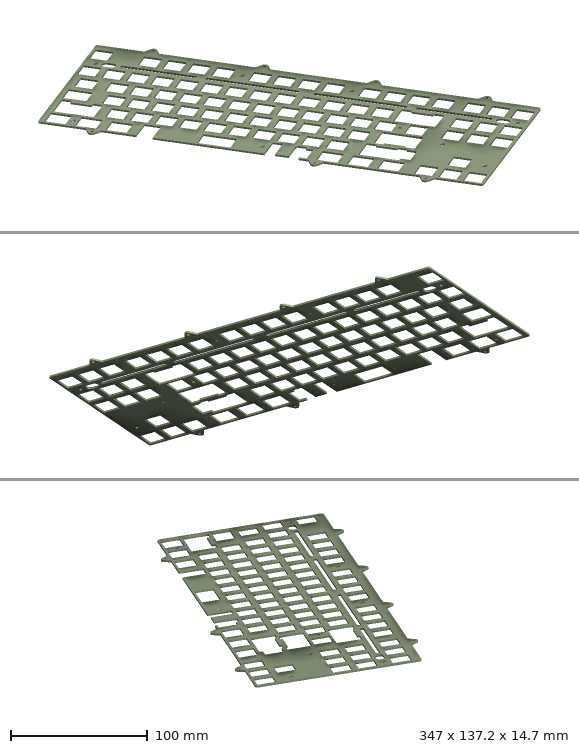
import cadquery as cq
import math

plate_length = 347.0
plate_depth = 125.0
plate_thickness = 1.5
tilt_angle = 5.5
corner_radius = 1.5

ear_spacing = 86.8
ear_radius = 3.0
ear_center_reach = 3.33
ear_root_half_width = 6.0
ear_overlap = 1.7
ear_hole_diameter = 2.2
rear_ear_steps = (-1.5, -0.5, 0.5, 1.5)
front_ear_steps = (-1.5, 0.5, 1.5)

key_field_span = 328.7
key_field_columns = 17.25
key_field_offset = -0.07
key_pitch = key_field_span / key_field_columns
switch_margin = 2.5
switch_size = key_pitch - 2 * switch_margin

number_row_y = 22.5
function_row_gap = 25.7
function_row_y = number_row_y + function_row_gap
tab_row_y = number_row_y - key_pitch
home_row_y = number_row_y - 2 * key_pitch
shift_row_y = number_row_y - 3 * key_pitch
space_row_y = number_row_y - 4 * key_pitch

navigation_columns = [15.25, 16.25, 17.25]
switch_rows = [
    (function_row_y, [0, 2, 3, 4, 5, 6.5, 7.5, 8.5, 9.5, 11, 12, 13, 14] + navigation_columns),
    (number_row_y, list(range(13)) + navigation_columns),
    (tab_row_y, [0.25] + [1.5 + i for i in range(12)] + [13.75] + navigation_columns),
    (home_row_y, [1.75 + i for i in range(11)]),
    (shift_row_y, [2.25 + i for i in range(10)] + [16.25]),
    (space_row_y, navigation_columns),
]

backspace_column = 13.5
enter_column = 13.375
left_shift_column = 0.625
right_shift_column = 13.125
split_shift_column = 14
short_bar_column = 6.375
long_bar_column = 7
short_bar_next_column = 10.125

two_place_openings = [
    (number_row_y, 13, 14),
    (home_row_y, 0.125, 0.375),
    (space_row_y, 0.125, 0.25),
    (space_row_y, 1.375, 1.5),
    (space_row_y, 2.625, 2.75),
    (space_row_y, short_bar_column, long_bar_column),
    (space_row_y, 11.25, 11.375),
    (space_row_y, 12.5, 12.625),
    (space_row_y, 13.75, 13.875),
]

stabilizer_half_width = 16.0
stabilizer_half_gap = 8.5
stabilizer_flat_reach = 9.7
backspace_flat_reach = 10.5
backspace_half_width = 16.3
stabilizer_lobe_reach = 8.7
left_shift_lobe_reach = 9.7

space_slot_width = 8.0
space_slot_reach = 9.5
short_bar_wire = 50.0
long_bar_wire = 57.0
space_tongue_setback = 1.0

slot_row_y = 35.8
flex_slot_width = 3.0
inner_slot_ends = (5.5, 78.8)
outer_slot_ends = (85.5, 145.0)
alignment_row_y = 35.0
oval_x = 153.8
oval_length = 10.8
oval_width = 6.2

screw_hole_diameter = 2.2
countersink_diameter = 4.5
countersink_angle = 90
screw_holes = [
    (-164.5, alignment_row_y),
    (164.5, alignment_row_y),
    (-55.0, 48.0),
    (31.0, 48.0),
    (123.2, -11.5),
    (164.5, shift_row_y),
    (-149.3, space_row_y),
    (-2.5, -52.0),
]
reset_hole_diameter = 2.6
reset_hole = (84.7, tab_row_y)

through = 4 * plate_thickness


def column_x(column):
    """X of a key center from its column in key units."""
    return key_field_offset + column * key_pitch - key_field_span / 2


def box_cutter(left, right, bottom, top):
    """Rectangular through cutter between four sides."""
    center = ((left + right) / 2, (bottom + top) / 2)
    return cq.Workplane("XY").center(*center).rect(right - left, top - bottom).extrude(through / 2, both=True)


def hole_cutter(points, diameter):
    """Round through cutters at the given points."""
    return cq.Workplane("XY").pushPoints(points).circle(diameter / 2).extrude(through / 2, both=True)


def slot_cutter(center_x, center_y, length, width):
    """Round-ended through cutter lying along X."""
    return cq.Workplane("XY").center(center_x, center_y).slot2D(length, width).extrude(through / 2, both=True)


def make_ear(x, side):
    """Rounded ear with flanks tangent to its tip; side is 1 for the rear edge and -1 for the front."""
    root_distance = math.hypot(ear_root_half_width, ear_center_reach)
    root_angle = math.atan2(ear_center_reach, ear_root_half_width)
    tangent_angle = math.acos(ear_radius / root_distance) - root_angle
    tangent_x = ear_radius * math.cos(tangent_angle)
    tangent_y = ear_center_reach + ear_radius * math.sin(tangent_angle)
    edge_y = side * plate_depth / 2
    overlap_y = edge_y - side * ear_overlap
    return (
        cq.Workplane("XY")
        .moveTo(x - ear_root_half_width, overlap_y)
        .lineTo(x - ear_root_half_width, edge_y)
        .lineTo(x - tangent_x, edge_y + side * tangent_y)
        .threePointArc(
            (x, edge_y + side * (ear_center_reach + ear_radius)),
            (x + tangent_x, edge_y + side * tangent_y),
        )
        .lineTo(x + ear_root_half_width, edge_y)
        .lineTo(x + ear_root_half_width, overlap_y)
        .close()
        .extrude(plate_thickness / 2, both=True)
    )


def switch_opening(row_y, first_column, last_column):
    """One opening as high as a switch, reaching from the first switch place to the last."""
    half = switch_size / 2
    return box_cutter(column_x(first_column) - half, column_x(last_column) + half, row_y - half, row_y + half)


def stabilizer_opening(
    row_y,
    column,
    lobe_side,
    lobe_reach=stabilizer_lobe_reach,
    flat_reach=stabilizer_flat_reach,
    half_width=stabilizer_half_width,
):
    """Wide opening with one flat long side; on lobe_side (1 rear, -1 front) two end lobes reach further."""
    x = column_x(column)
    flat_y = row_y - lobe_side * flat_reach
    middle_y = row_y + lobe_side * switch_size / 2
    lobe_y = row_y + lobe_side * lobe_reach
    outline = [
        (x - half_width, flat_y),
        (x - half_width, lobe_y),
        (x - stabilizer_half_gap, lobe_y),
        (x - stabilizer_half_gap, middle_y),
        (x + stabilizer_half_gap, middle_y),
        (x + stabilizer_half_gap, lobe_y),
        (x + half_width, lobe_y),
        (x + half_width, flat_y),
    ]
    return cq.Workplane("XY").polyline(outline).close().extrude(through / 2, both=True)


def space_slot(first_x, last_x):
    """Slot open to the front edge, covering stabilizer places from first_x to last_x."""
    half = space_slot_width / 2
    return box_cutter(first_x - half, last_x + half, -plate_depth, space_row_y + space_slot_reach)


plate = (
    cq.Workplane("XY")
    .rect(plate_length, plate_depth)
    .extrude(plate_thickness / 2, both=True)
    .edges("|Z")
    .fillet(corner_radius)
)
ears = [(step * ear_spacing, 1) for step in rear_ear_steps]
ears += [(step * ear_spacing, -1) for step in front_ear_steps]
for ear_x, ear_side in ears:
    plate = plate.union(make_ear(ear_x, ear_side))
ear_holes = [(x, side * (plate_depth / 2 + ear_center_reach)) for x, side in ears]
plate = plate.cut(hole_cutter(ear_holes, ear_hole_diameter))

for row_y, columns in switch_rows:
    switch_points = [(column_x(column), row_y) for column in columns]
    switches = cq.Workplane("XY").pushPoints(switch_points).rect(switch_size, switch_size)
    plate = plate.cut(switches.extrude(through / 2, both=True))

for row_y, first_column, last_column in two_place_openings:
    plate = plate.cut(switch_opening(row_y, first_column, last_column))
backspace_opening = stabilizer_opening(
    number_row_y, backspace_column, 1, flat_reach=backspace_flat_reach, half_width=backspace_half_width
)
plate = plate.cut(backspace_opening)
plate = plate.cut(stabilizer_opening(home_row_y, enter_column, -1))
plate = plate.cut(stabilizer_opening(shift_row_y, left_shift_column, 1, lobe_reach=left_shift_lobe_reach))
plate = plate.cut(stabilizer_opening(shift_row_y, right_shift_column, 1))
plate = plate.cut(switch_opening(shift_row_y, right_shift_column, split_shift_column))

short_bar_x = column_x(short_bar_column)
long_bar_x = column_x(long_bar_column)
short_slot_x = short_bar_x + short_bar_wire
long_slot_x = long_bar_x + long_bar_wire
plate = plate.cut(space_slot(short_bar_x - short_bar_wire, long_bar_x - long_bar_wire))
plate = plate.cut(space_slot(short_slot_x, short_slot_x))
plate = plate.cut(space_slot(long_slot_x, long_slot_x))
plate = plate.cut(switch_opening(space_row_y, short_bar_next_column, short_bar_next_column))
tongue_front_y = -plate_depth / 2 + space_tongue_setback
plate = plate.cut(box_cutter(short_slot_x, long_slot_x, -plate_depth, tongue_front_y))

for side in (-1, 1):
    for start, end in (inner_slot_ends, outer_slot_ends):
        plate = plate.cut(slot_cutter(side * (start + end) / 2, slot_row_y, end - start, flex_slot_width))
    plate = plate.cut(slot_cutter(side * oval_x, alignment_row_y, oval_length, oval_width))

plate = (
    plate.faces(">Z")
    .workplane(origin=(0, 0, 0))
    .pushPoints(screw_holes)
    .cskHole(screw_hole_diameter, countersink_diameter, countersink_angle)
)
plate = plate.cut(hole_cutter([reset_hole], reset_hole_diameter))

result = plate.rotate((0, 0, 0), (1, 0, 0), tilt_angle)